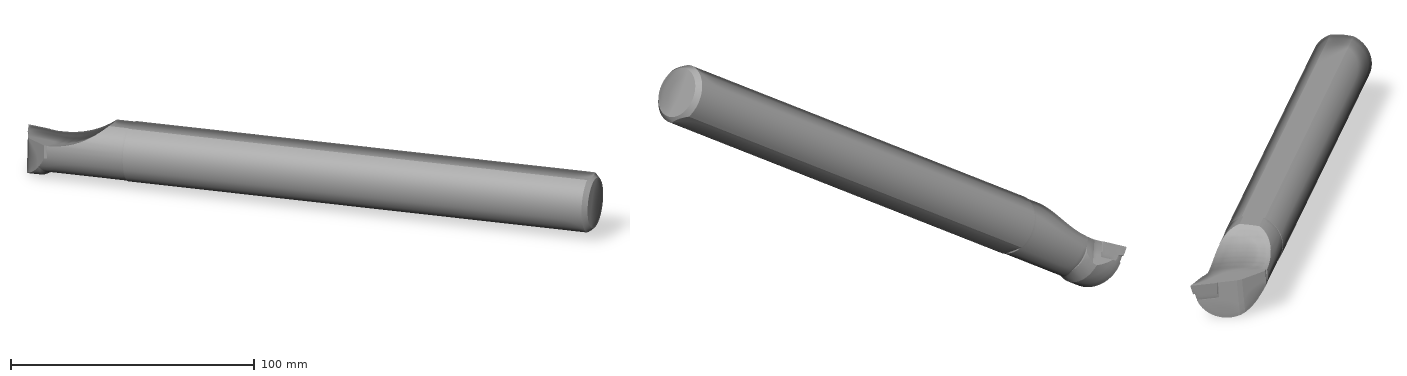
import cadquery as cq
import math


LENGTH = 250.0
SHANK_RADIUS = 12.5
NECK_RADIUS = 12.2
NECK_END = 50.0
FLAT_HEIGHT = 11.5
END_CHAMFER = 2.0

HEAD_RADIUS = 13.38
HEAD_Y = 2.0
HEAD_Z = -1.12
HEAD_TAPER_START = 12.5
HEAD_TAPER_END = 18.2
HEAD_TAPER_RADIUS = 10.8

FLOOR_Z = 1.62
FLOOR_TILT = 5.0
WHEEL_X = -6.2
WHEEL_FLAT_RADIUS = 26.0
WHEEL_CORNER_RADIUS = 30.0
WHEEL_HEIGHT = 25.0

TIP_Y = 17.0
INSERT_SIDE = 11.2
INSERT_THICKNESS = 4.0
INSERT_CLEARANCE = 7.0
FAR_EDGE_ANGLE = -17.0
LEAD_EDGE_ANGLE = -74.5
RELIEF_DEPTH = 6.8
SEAT_SHIFT = 1.0

NOSE_CORNER_Y = -1.5
NOSE_FACET = (1.2, -2.0)
HEEL = (15.8, -11.5)
HEEL_FLAT_END = 17.2
BODY_SETBACK = 0.38
BEYOND = 30.0


def along(start, angle, distance):
    """Point at a distance from start, in a direction given in degrees."""
    turn = math.radians(angle)
    return (start[0] + distance * math.cos(turn), start[1] + distance * math.sin(turn))


def on_floor(body):
    """Move a body from the level floor frame to the tilted floor."""
    tilted = body.rotate((0, 0, 0), (1, 0, 0), -FLOOR_TILT)
    return tilted.translate((0, 0, FLOOR_Z))


TIP = (0.0, TIP_Y)
FAR_CORNER = along(TIP, FAR_EDGE_ANGLE, INSERT_SIDE)
LEAD_CORNER = along(TIP, LEAD_EDGE_ANGLE, INSERT_SIDE)
INNER_CORNER = along(FAR_CORNER, LEAD_EDGE_ANGLE, INSERT_SIDE)


def x_rod(radius, start, end):
    return cq.Workplane("YZ", origin=(start, 0, 0)).circle(radius).extrude(end - start)


def make_shank():
    rod = x_rod(SHANK_RADIUS, NECK_END, LENGTH).faces(">X").chamfer(END_CHAMFER)
    length = LENGTH - NECK_END
    slab = cq.Workplane("XY").box(length, 2 * SHANK_RADIUS, 2 * FLAT_HEIGHT)
    return rod.intersect(slab.translate((NECK_END + length / 2, 0, 0)))


def make_neck():
    rod = x_rod(NECK_RADIUS, 0, NECK_END)
    above_flat = cq.Workplane("XY", origin=(0, 0, FLAT_HEIGHT)).rect(2 * NECK_END, 2 * BEYOND)
    return rod.cut(above_flat.extrude(BEYOND))


def make_head():
    profile = [
        (0, 0),
        (0, HEAD_RADIUS),
        (HEAD_TAPER_START, HEAD_RADIUS),
        (HEAD_TAPER_END, HEAD_TAPER_RADIUS),
        (HEAD_TAPER_END, 0),
    ]
    head = cq.Workplane("XY").polyline(profile).close().revolve(360, (0, 0), (1, 0))
    return head.translate((0, HEAD_Y, HEAD_Z))


def make_wheel():
    """Space swept by the wheel: a flat disc with a large rounded corner."""
    turn = math.acos(1 - WHEEL_HEIGHT / WHEEL_CORNER_RADIUS)

    def corner(angle):
        return (
            WHEEL_FLAT_RADIUS + WHEEL_CORNER_RADIUS * math.sin(angle),
            WHEEL_CORNER_RADIUS * (1 - math.cos(angle)),
        )

    profile = cq.Workplane("XZ").lineTo(WHEEL_FLAT_RADIUS, 0)
    profile = profile.threePointArc(corner(turn / 2), corner(turn)).lineTo(0, WHEEL_HEIGHT).close()
    wheel = profile.revolve(360, (0, 0), (0, 1))
    return on_floor(wheel.translate((WHEEL_X, 0, 0)))


def make_nose_envelope():
    """Prism square to the floor that bounds the front, heel and far side of the head."""
    lead_run = 1 / math.tan(math.radians(LEAD_EDGE_ANGLE))
    far_slope = math.tan(math.radians(FAR_EDGE_ANGLE))
    lead_setback = BODY_SETBACK / math.sin(math.radians(-LEAD_EDGE_ANGLE))
    far_setback = BODY_SETBACK / math.cos(math.radians(FAR_EDGE_ANGLE))
    lead_x = lead_setback - lead_run * TIP_Y
    far_y = TIP_Y - far_setback
    tip_x = (lead_x + lead_run * far_y) / (1 - lead_run * far_slope)
    nose_tip = (tip_x, far_y + far_slope * tip_x)
    nose = (lead_x + lead_run * NOSE_CORNER_Y, NOSE_CORNER_Y)
    facet_end = (nose[0] + NOSE_FACET[0], nose[1] + NOSE_FACET[1])
    far_end = ((NECK_RADIUS - far_y) / far_slope, NECK_RADIUS)
    outline = [
        nose_tip,
        nose,
        facet_end,
        HEEL,
        (HEEL_FLAT_END, HEEL[1]),
        (HEEL_FLAT_END, -BEYOND),
        (NECK_END, -BEYOND),
        (NECK_END, BEYOND),
        (HEAD_TAPER_END, BEYOND),
        (HEAD_TAPER_END, NECK_RADIUS),
        far_end,
    ]
    prism = cq.Workplane("XY", origin=(0, 0, -BEYOND)).polyline(outline).close().extrude(2 * BEYOND)
    return on_floor(prism)


def make_rhombus(depth, clearance):
    """Rhombus that goes down from the floor, its sides drawn in by the clearance angle."""
    corners = [TIP, LEAD_CORNER, INNER_CORNER, FAR_CORNER]
    rhombus = cq.Workplane("XY").polyline(corners).close()
    return on_floor(rhombus.extrude(-depth, taper=clearance))


def make_relief():
    """Wedge outside the two exposed clearance faces, down to the relief depth."""
    straight = make_rhombus(RELIEF_DEPTH, 0)
    wedge = straight.cut(make_rhombus(RELIEF_DEPTH, INSERT_CLEARANCE))
    shift = along(along((0, 0), FAR_EDGE_ANGLE, SEAT_SHIFT), LEAD_EDGE_ANGLE, SEAT_SHIFT)
    drop = shift[1] * math.tan(math.radians(FLOOR_TILT))
    return wedge.cut(straight.translate((shift[0], shift[1], -drop)))


def make_bar(insert):
    front = make_neck().union(make_head()).intersect(make_nose_envelope())
    front = front.cut(make_wheel()).cut(make_relief()).cut(insert)
    return front.union(make_shank())


insert = make_rhombus(INSERT_THICKNESS, INSERT_CLEARANCE)
bar = make_bar(insert)
result = cq.Compound.makeCompound([bar.solids().val(), insert.val()])